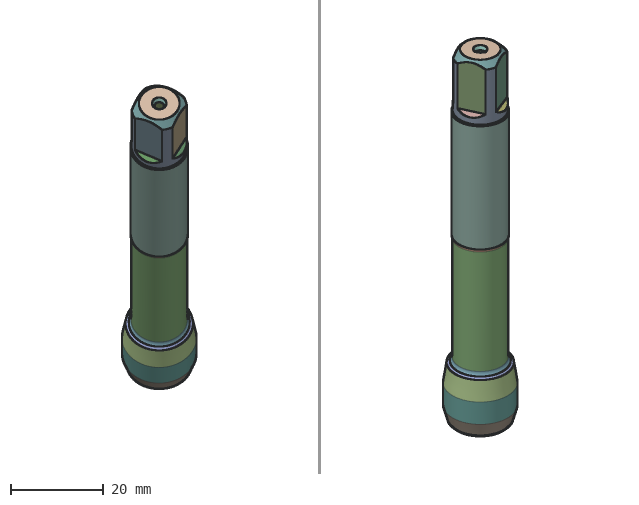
import cadquery as cq
import math

total_length = 95.0

head_radius = 16.17 / 2
head_length = 15.4
head_top_radius = 6.6
head_shoulder_radius = 7.3
head_shoulder_height = 14.95
head_band_low = 4.1
head_band_high = 9.8
tip_chamfer = 0.7
tip_face_radius = 6.45
tip_edge_radius = tip_face_radius + tip_chamfer

neck_radius = 12.2 / 2
neck_fillet = 1.2
shank_radius = 12.5 / 2
shank_start = 47.65
shank_end = 79.4
step_fillet = 2.0

drive_radius = 12.0 / 2
shank_chamfer = shank_radius - drive_radius
drive_across_flats = 10.0
drive_flat_length = 13.0
drive_top_chamfer = 1.6

hole_radius = 2.0 / 2
hole_mouth_radius = 3.1 / 2
hole_countersink_angle = 60.0
hole_depth = 3.5
hole_tip_angle = 118.0


def concave_arc(start_radius, end_radius, arc_radius):
    """Height and midpoint offsets of a fillet that leaves a cylinder tangentially and flares outwards."""
    angle = math.acos(1 - (end_radius - start_radius) / arc_radius)
    height = arc_radius * math.sin(angle)
    mid_offset = arc_radius * (1 - math.cos(angle / 2))
    mid_height = arc_radius * math.sin(angle / 2)
    return height, mid_offset, mid_height


def revolve_profile(profile):
    """Turn a closed (radius, Z) profile around the Z axis."""
    return profile.close().revolve(360, (0, 0, 0), (0, 1, 0))


def make_head():
    """Head: bevelled tip, taper out to the cylindrical band, then taper and bevel up to a flat top face."""
    profile = (
        cq.Workplane("XZ")
        .moveTo(0, 0)
        .lineTo(tip_face_radius, 0)
        .lineTo(tip_edge_radius, tip_chamfer)
        .lineTo(head_radius, head_band_low)
        .lineTo(head_radius, head_band_high)
        .lineTo(head_shoulder_radius, head_shoulder_height)
        .lineTo(head_top_radius, head_length)
        .lineTo(0, head_length)
    )
    return revolve_profile(profile)


def make_shank_blank():
    """Turned shank: flared foot, neck, thicker upper part and the round drive end."""
    foot_height, foot_mid_offset, foot_mid_height = concave_arc(
        neck_radius, head_top_radius, neck_fillet
    )
    step_height, step_mid_offset, step_mid_height = concave_arc(neck_radius, shank_radius, step_fillet)
    foot_top = head_length + foot_height
    step_bottom = shank_start - step_height
    profile = (
        cq.Workplane("XZ")
        .moveTo(0, head_length)
        .lineTo(head_top_radius, head_length)
        .threePointArc(
            (neck_radius + foot_mid_offset, foot_top - foot_mid_height),
            (neck_radius, foot_top),
        )
        .lineTo(neck_radius, step_bottom)
        .threePointArc(
            (neck_radius + step_mid_offset, step_bottom + step_mid_height),
            (shank_radius, shank_start),
        )
        .lineTo(shank_radius, shank_end - shank_chamfer)
        .lineTo(drive_radius, shank_end)
        .lineTo(drive_radius, total_length - drive_top_chamfer)
        .lineTo(drive_radius - drive_top_chamfer, total_length)
        .lineTo(0, total_length)
    )
    return revolve_profile(profile)


def make_flat_cutter():
    """Cutter for the flat on the +X side, with a 45 degree run-out below the flat."""
    inner = drive_across_flats / 2
    outer = 2 * drive_radius
    flat_bottom = total_length - drive_flat_length
    return (
        cq.Workplane("XZ")
        .moveTo(inner, total_length)
        .lineTo(inner, flat_bottom)
        .lineTo(outer, flat_bottom - (outer - inner))
        .lineTo(outer, total_length)
        .close()
        .extrude(drive_radius, both=True)
    )


def make_centre_hole():
    """Centre hole with a conical mouth and a drill-point bottom."""
    mouth_depth = (hole_mouth_radius - hole_radius) / math.tan(math.radians(hole_countersink_angle / 2))
    tip_depth = hole_radius / math.tan(math.radians(hole_tip_angle / 2))
    profile = (
        cq.Workplane("XZ")
        .moveTo(0, total_length)
        .lineTo(hole_mouth_radius, total_length)
        .lineTo(hole_radius, total_length - mouth_depth)
        .lineTo(hole_radius, total_length - hole_depth)
        .lineTo(0, total_length - hole_depth - tip_depth)
    )
    return revolve_profile(profile)


def make_shank():
    """Complete shank with four drive flats and the centre hole."""
    shank = make_shank_blank()
    flat_cutter = make_flat_cutter()
    for angle in (0, 90, 180, 270):
        shank = shank.cut(flat_cutter.rotate((0, 0, 0), (0, 0, 1), angle))
    return shank.cut(make_centre_hole())


head = make_head()
shank = make_shank()

result = cq.Compound.makeCompound([head.val(), shank.val()])